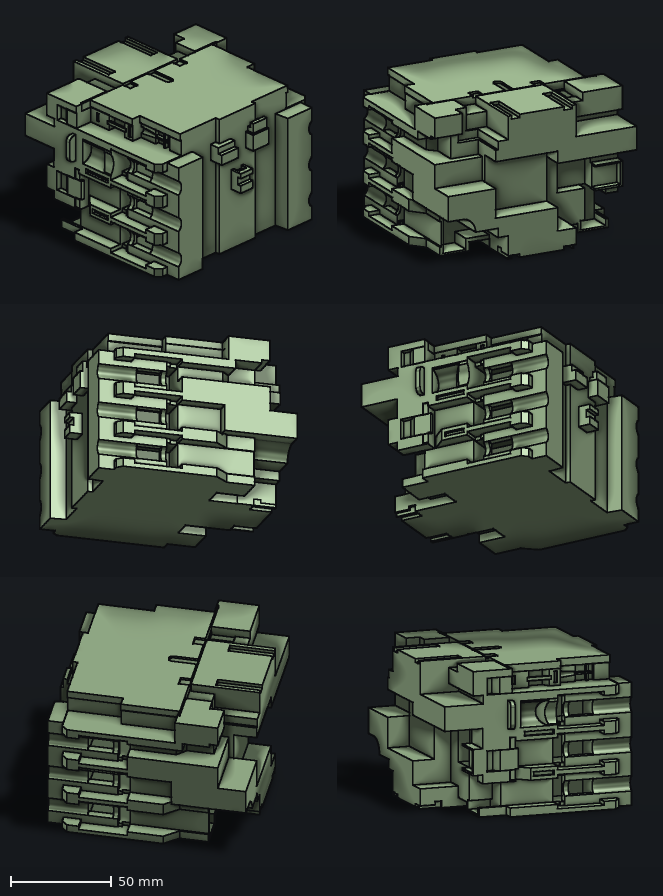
import cadquery as cq
import math

DEPTH = 106.3
HEIGHT = 75.5
MIDDLE_Y = DEPTH / 2

RAIL_SEAT_X = 11.6
FAR_STEP_X = 14.3
NEAR_STEP_X = 15.3
FAR_NOTCH_X = 18.6
BASE_X = 20.4
UNDERCUT_X = 20.7
FAR_RECESS_X = 21.6
SHELF_X = 22.9
CORNER_POCKET_X = 32.4
FIN_START_X = 35.0
COVER_X = 36.1
CELL_X = 38.0
STRIP_X = 60.4
STRIP_STEP_X = 64.4
TERMINAL_X = 66.4
END_BLOCK_X = 85.2
BODY_X = 94.2
NOSE_X = 96.8
TERMINAL_END_X = 102.3

FOOT_RECESS_Y = 5.3
TERMINAL_Y = 6.1
CELL_Y = 6.9
TERMINAL_BACK_Y = 23.0
STRIP_Y = 8.3
CAVITY_Y0 = 10.0
CAVITY_Y1 = 21.0
COVER_SIDE_Y = 10.1
COVER_SIDE_NARROW_Y = 15.3
LATCH_BLOCK_Y = 15.5
CORNER_POCKET_Y = 18.6
SHOULDER_Y = 22.6
CORE_Y0 = 34.1
CORE_Y1 = 72.5
SEAT_Y0 = 44.5
SEAT_Y1 = 79.5
FAR_LEDGE_Y = 78.2
FAR_SHELF_Y = 84.7
FAR_SHOULDER_Y = 90.8
FAR_NOTCH_Y = 95.0

FOOT_Z = 4.6
LOW_STEP_Z = 10.5
ARCH_LEDGE_Z = 12.4
ARCH_Z = 17.3
CELL_TOP_Z = 18.0
LATCH_Z0 = 22.5
SEAT_Z0 = 22.8
ARCH_TOP_Z = 25.1
LATCH_Z1 = 35.9
RAIL_Z0 = 38.4
RAIL_Z1 = 46.2
FAR_STEP_Z = 50.9
SEAT_Z1 = 52.6
LEDGE_Z = 58.7
SIDE_TOP_Z = 62.7
UNDERCUT_Z = 63.1
FAR_BLOCK_Z = 64.8
SHELF_Z = 71.2
BAND_TOP_Z = 71.6


def block(x0, x1, y0, y1, z0, z1):
    """Box given by its limits along X, Y and Z."""
    return cq.Workplane("XY").box(x1 - x0, y1 - y0, z1 - z0, centered=False).translate((x0, y0, z0))


def prism_z(points, z0, z1):
    """Polygon in X and Y, extruded from z0 to z1."""
    return cq.Workplane("XY").workplane(offset=z0).polyline(points).close().extrude(z1 - z0)


def rod_x(x0, x1, y, z, radius):
    """Cylinder along X."""
    return cq.Workplane("YZ").center(y, z).circle(radius).extrude(x1 - x0).translate((x0, 0, 0))


def far_copy(shape):
    """Mirror image on the far side of the middle plane."""
    return shape.translate((0, -MIDDLE_Y, 0)).mirror("XZ").translate((0, MIDDLE_Y, 0))


def cut_both_sides(body, cutter):
    """Cut a near-side shape and its mirror image."""
    return body.cut(cutter).cut(far_copy(cutter))


BODY_CORNER = 2.9


def make_main_block():
    main = block(0, BODY_X, 0, DEPTH, 0, HEIGHT)
    main = main.edges("|Z and >X").chamfer(BODY_CORNER)
    nose_half_width = 12.7
    nose = block(BODY_X, NOSE_X, MIDDLE_Y - nose_half_width, MIDDLE_Y + nose_half_width, 0, HEIGHT)
    return main.union(nose)


DIP_Y1 = 27.2
DIP_Z = 70.5
WINDOW_X = 26.6
LATCH_POCKET_X = 18.9
LATCH_WALL = 1.3
LATCH_POCKET_Z0 = 23.6
LATCH_POCKET_Z1 = 35.1


def cut_near_base_steps(body):
    """Stepped mounting side between the near side face and the central column."""
    body = body.cut(block(0, NEAR_STEP_X, 0, CORE_Y0, LEDGE_Z, HEIGHT))
    body = body.cut(block(NEAR_STEP_X, UNDERCUT_X, 0, CORE_Y0, LEDGE_Z, UNDERCUT_Z))
    body = body.cut(block(NEAR_STEP_X, FIN_START_X, SHOULDER_Y, CORE_Y0, SHELF_Z, HEIGHT))
    body = body.cut(block(SHELF_X, FIN_START_X, SHOULDER_Y, DIP_Y1, DIP_Z, SHELF_Z))
    body = body.cut(block(0, BASE_X, LATCH_BLOCK_Y, SEAT_Y0, LOW_STEP_Z, RAIL_Z1))
    body = body.cut(block(0, NEAR_STEP_X, 0, LATCH_BLOCK_Y, 0, RAIL_Z1))
    body = body.cut(block(NEAR_STEP_X, BASE_X, 0, LATCH_BLOCK_Y, LATCH_Z1, RAIL_Z1))
    body = body.cut(block(NEAR_STEP_X, BASE_X, 0, LATCH_BLOCK_Y, 0, LATCH_Z0))
    body = body.cut(block(0, BASE_X, LATCH_BLOCK_Y, CORE_Y0, 0, LOW_STEP_Z))
    body = body.cut(block(BASE_X, WINDOW_X, LATCH_BLOCK_Y, CORE_Y0, SEAT_Z0, RAIL_Z1))
    return body.cut(
        block(NEAR_STEP_X, LATCH_POCKET_X, LATCH_WALL, LATCH_BLOCK_Y, LATCH_POCKET_Z0, LATCH_POCKET_Z1)
    )


def cut_rail_seat(body):
    body = body.cut(block(0, RAIL_SEAT_X, SEAT_Y0, SEAT_Y1, SEAT_Z0, SEAT_Z1))
    return body.cut(block(0, RAIL_SEAT_X, 0, DEPTH, RAIL_Z0, RAIL_Z1))


def cut_far_base_steps(body):
    """Stepped mounting side between the central column and the far side face."""
    body = body.cut(block(0, FAR_STEP_X, SEAT_Y1, DEPTH, RAIL_Z0, HEIGHT))
    body = body.cut(block(0, FAR_STEP_X, FAR_LEDGE_Y, SEAT_Y1, LEDGE_Z, HEIGHT))
    body = body.cut(block(0, FAR_RECESS_X, CORE_Y1, FAR_LEDGE_Y, UNDERCUT_Z, HEIGHT))
    body = body.cut(block(FAR_STEP_X, FAR_NOTCH_X, SEAT_Y1, DEPTH, FAR_STEP_Z, FAR_BLOCK_Z))
    body = body.cut(block(FAR_STEP_X, FAR_RECESS_X, FAR_LEDGE_Y, FAR_SHOULDER_Y, LEDGE_Z, HEIGHT))
    body = body.cut(block(FAR_RECESS_X, SHELF_X, CORE_Y1, FAR_SHELF_Y, UNDERCUT_Z, HEIGHT))
    body = body.cut(block(SHELF_X, FIN_START_X, CORE_Y1, FAR_SHELF_Y, SHELF_Z, HEIGHT))
    body = body.cut(block(FAR_NOTCH_X, CORNER_POCKET_X, FAR_NOTCH_Y, DEPTH, FAR_STEP_Z, UNDERCUT_Z))
    channel_y = DEPTH - CELL_Y
    channel = prism_z(
        [
            (CORNER_POCKET_X, FAR_NOTCH_Y),
            (CORNER_POCKET_X + channel_y - FAR_NOTCH_Y, channel_y),
            (STRIP_X, channel_y),
            (STRIP_X, DEPTH),
            (CORNER_POCKET_X, DEPTH),
        ],
        FAR_STEP_Z, LEDGE_Z,
    )
    return body.cut(channel)


POCKET_FLOOR_Z = 1.1


def make_arch(length):
    """Arched opening under the far end of the mounting side, reaching in from X = 0."""
    arch_radius = ARCH_TOP_Z - ARCH_Z
    arch_mid = arch_radius * math.sqrt(0.5)
    return (
        cq.Workplane("YZ")
        .moveTo(CORE_Y1, 0)
        .lineTo(CORE_Y1, ARCH_LEDGE_Z)
        .lineTo(FAR_LEDGE_Y, ARCH_LEDGE_Z)
        .lineTo(FAR_LEDGE_Y, ARCH_Z)
        .lineTo(FAR_SHOULDER_Y, ARCH_Z)
        .threePointArc(
            (FAR_SHOULDER_Y + arch_radius - arch_mid, ARCH_Z + arch_mid),
            (FAR_SHOULDER_Y + arch_radius, ARCH_TOP_Z),
        )
        .lineTo(DEPTH, ARCH_TOP_Z)
        .lineTo(DEPTH, 0)
        .close()
        .extrude(length)
    )


def cut_arch(body):
    """Arch with a deeper pocket behind it, framed by walls at its foot and its outer end."""
    foot_wall_y = 85.6
    foot_wall_z = 6.9
    end_wall_y = 98.4
    pocket_frame = block(0, CORNER_POCKET_X, CORE_Y1, foot_wall_y, foot_wall_z, ARCH_TOP_Z)
    pocket_frame = pocket_frame.union(
        block(0, CORNER_POCKET_X, foot_wall_y, end_wall_y, POCKET_FLOOR_Z, ARCH_TOP_Z)
    )
    return body.cut(make_arch(BASE_X)).cut(make_arch(CORNER_POCKET_X).intersect(pocket_frame))


def cut_corner_pockets(body):
    """Pocket at the near lower corner of the base, and the foot recesses on both sides."""
    widened_y = 21.0
    widened_z = 6.0
    body = body.cut(block(BASE_X, CORNER_POCKET_X, CELL_Y, CORNER_POCKET_Y, POCKET_FLOOR_Z, SEAT_Z0))
    body = body.cut(block(BASE_X, CORNER_POCKET_X, CORNER_POCKET_Y, widened_y, POCKET_FLOOR_Z, widened_z))
    recess = block(BASE_X, CORNER_POCKET_X, 0, CELL_Y, FOOT_Z, CELL_TOP_Z)
    recess = recess.union(block(BASE_X, FIN_START_X, 0, FOOT_RECESS_Y, 0, FOOT_Z))
    recess = recess.union(block(BASE_X, FIN_START_X, SHOULDER_Y, CORE_Y0, 0, FOOT_Z))
    return cut_both_sides(body, recess)


def cut_far_slopes(body):
    """Sloped starts of the foot and of the lower fin on the far side."""
    slope_length = 7.2
    slope = [
        (BASE_X, DEPTH),
        (BASE_X, DEPTH - TERMINAL_Y),
        (FIN_START_X, DEPTH - TERMINAL_Y),
        (FIN_START_X + slope_length, DEPTH),
    ]
    body = body.cut(prism_z(slope, 0, FOOT_Z))
    return body.cut(prism_z(slope, CELL_TOP_Z, ARCH_TOP_Z))


def cut_face_slots(body):
    groove_y0 = 4.4
    groove_y1 = 99.6
    groove_x1 = 35.8
    body = body.cut(block(FIN_START_X, groove_x1, groove_y0, groove_y1, SHELF_Z, HEIGHT))
    slot_depth = 1.8
    top_slot_length = 22.7
    slot_width = 4.6
    for y in (36.3, 65.9):
        body = body.cut(block(0, top_slot_length, y, y + slot_width, HEIGHT - slot_depth, HEIGHT))
        body = body.cut(block(0, RAIL_SEAT_X, y, y + slot_width, 0, slot_depth))
    edge_notch_width = 1.4
    edge_notch_x = 8.0
    edge_notch_z = 3.4
    core_edge_y = CORE_Y0 + edge_notch_width
    edge_notch = block(0, edge_notch_x, CORE_Y0, core_edge_y, 0, slot_depth)
    edge_notch = edge_notch.union(block(edge_notch_x, RAIL_SEAT_X, CORE_Y0, core_edge_y, 0, edge_notch_z))
    body = cut_both_sides(body, edge_notch)
    notch_length = 5.4
    notch_width = 5.3
    notch_depth = 1.1
    for y in (33.2, 68.1):
        body = body.cut(
            block(groove_x1, groove_x1 + notch_length, y, y + notch_width, HEIGHT - notch_depth, HEIGHT)
        )
    finger_radius = 2.2
    finger_center_x = 48.2
    finger = block(
        groove_x1, finger_center_x, MIDDLE_Y - finger_radius, MIDDLE_Y + finger_radius,
        HEIGHT - notch_depth, HEIGHT,
    )
    finger_end = (
        cq.Workplane("XY").workplane(offset=HEIGHT - notch_depth)
        .center(finger_center_x, MIDDLE_Y).circle(finger_radius).extrude(notch_depth)
    )
    return body.cut(finger).cut(finger_end)


COVER_NARROW_X = 65.8
BAND_DEPTH = 0.9
RIM_DEPTH = 0.3


def cut_cover_sides(body):
    """Side shoulders beside the top cover, and the sunken band below its rim."""
    shoulder = block(COVER_X, COVER_NARROW_X, 0, COVER_SIDE_Y, UNDERCUT_Z, HEIGHT)
    shoulder = shoulder.union(block(COVER_NARROW_X, BODY_X, 0, COVER_SIDE_NARROW_Y, UNDERCUT_Z, HEIGHT))
    band = block(COVER_NARROW_X, BODY_X, COVER_SIDE_NARROW_Y, COVER_SIDE_NARROW_Y + BAND_DEPTH,
                 UNDERCUT_Z, BAND_TOP_Z)
    band = band.union(
        block(COVER_X, COVER_NARROW_X, COVER_SIDE_Y, COVER_SIDE_Y + RIM_DEPTH, UNDERCUT_Z, BAND_TOP_Z)
    )
    return cut_both_sides(body, shoulder.union(band))


def cut_cover_details(body):
    """Ramped pocket, slits, contact window and cable funnel in the cover's near side."""
    pocket_depth = 4.4
    ramp_start_x = 48.9
    ramp_end_x = 60.0
    ramp_run = 2.2
    pocket = prism_z(
        [
            (ramp_start_x, COVER_SIDE_Y),
            (ramp_start_x, COVER_SIDE_Y + pocket_depth),
            (ramp_end_x - ramp_run, COVER_SIDE_Y + pocket_depth),
            (ramp_end_x, COVER_SIDE_Y),
        ],
        UNDERCUT_Z, BAND_TOP_Z,
    )
    bar_z0 = 66.4
    bar_z1 = 68.2
    bar_overlap = 0.9
    bar_depth = 1.1
    bar = block(
        ramp_start_x - bar_overlap, ramp_end_x + bar_overlap, COVER_SIDE_Y, COVER_SIDE_Y + bar_depth,
        bar_z0, bar_z1,
    )
    body = body.cut(pocket).union(bar)
    slit_depth = 1.3
    slit_width = 1.5
    for x, z0, z1 in ((40.1, 65.3, 69.5), (62.5, 64.5, 70.3)):
        body = body.cut(block(x, x + slit_width, COVER_SIDE_Y, COVER_SIDE_Y + slit_depth, z0, z1))

    band_y = COVER_SIDE_NARROW_Y + BAND_DEPTH
    window_depth = 2.2
    rib_width = 0.9
    window_x0 = 75.9
    window_x1 = 85.9
    rib_x = 81.9
    body = body.cut(block(window_x0, window_x1, band_y, band_y + window_depth, UNDERCUT_Z, BAND_TOP_Z))
    body = body.union(
        block(rib_x, rib_x + rib_width, band_y, band_y + window_depth, UNDERCUT_Z, BAND_TOP_Z)
    )
    cross_bar_x1 = 84.4
    cross_bar_z0 = 66.6
    body = body.union(
        block(window_x0, cross_bar_x1, band_y, band_y + window_depth, cross_bar_z0, cross_bar_z0 + rib_width)
    )

    funnel_radius = 1.9
    funnel_end_radius = 0.9
    funnel_z = 67.3
    funnel = cq.Solid.makeCone(
        funnel_radius, funnel_end_radius, window_x0 - COVER_NARROW_X,
        pnt=cq.Vector(COVER_NARROW_X, band_y, funnel_z), dir=cq.Vector(1, 0, 0),
    )
    return body.cut(cq.Workplane(funnel))


FIN_CENTERS_Z = (21.0, 41.8)
FIN_HALF = 1.2
FIN_BLOCK_HALF = 3.2
BAY_STEP = FIN_BLOCK_HALF - FIN_HALF
TERMINAL_CENTERS_Z = (11.2, 31.0, 51.4)
GROOVE_RADIUS = 4.6


def cell_limits():
    """Lower and upper limits of the three bays between the thin fins."""
    lowest = 2.4
    highest = 60.3
    floors = [lowest] + [z + FIN_HALF for z in FIN_CENTERS_Z]
    ceilings = [z - FIN_HALF for z in FIN_CENTERS_Z] + [highest]
    return list(zip(floors, ceilings))


def make_side_cells():
    """Material removed from the near side around the fins."""
    cells = block(CORNER_POCKET_X, STRIP_X, 0, CELL_Y, FOOT_Z, CELL_TOP_Z)
    middle_z0 = FIN_CENTERS_Z[0] + FIN_BLOCK_HALF
    middle_z1 = FIN_CENTERS_Z[1] - FIN_BLOCK_HALF
    cells = cells.union(block(CELL_X, STRIP_X, 0, CELL_Y, middle_z0, middle_z1))
    for z0, z1 in cell_limits():
        cells = cells.union(block(STRIP_X, STRIP_STEP_X, 0, STRIP_Y, z0, z1))
        cells = cells.union(block(STRIP_STEP_X, TERMINAL_X, 0, CELL_Y, z0, z1))
        cells = cells.union(block(TERMINAL_X, END_BLOCK_X, 0, TERMINAL_Y, z0, z1))
        cells = cells.union(block(END_BLOCK_X, BODY_X, 0, TERMINAL_Y, z0 + BAY_STEP, z1 - BAY_STEP))
    return cells


def make_terminal_block():
    """Row of terminals standing beyond the operating side."""
    draft = 0.8
    root_x = 92.3
    outline = [
        (root_x, TERMINAL_Y),
        (TERMINAL_END_X, TERMINAL_Y),
        (TERMINAL_END_X, TERMINAL_BACK_Y),
        (BODY_X, TERMINAL_BACK_Y + draft),
        (root_x, TERMINAL_BACK_Y + draft),
    ]
    return prism_z(outline, 0, SIDE_TOP_Z)


def make_terminal_grooves():
    """Round wire grooves along the terminals, opened by windows into a hollow behind each terminal."""
    window_x0 = 69.1
    window_x1 = 81.9
    groove_half = 3.9
    axis_y = TERMINAL_Y - math.sqrt(GROOVE_RADIUS**2 - groove_half**2)
    grooves = cq.Workplane("XY")
    for z, (bay_z0, bay_z1) in zip(TERMINAL_CENTERS_Z, cell_limits()):
        grooves = grooves.union(rod_x(TERMINAL_X, TERMINAL_END_X, axis_y, z, GROOVE_RADIUS))
        grooves = grooves.union(
            block(window_x0, window_x1, TERMINAL_Y, CAVITY_Y0, z - groove_half, z + groove_half)
        )
        cavity_z0 = bay_z0 + BAY_STEP
        cavity_z1 = bay_z1 - BAY_STEP
        grooves = grooves.union(block(STRIP_X, window_x1, CAVITY_Y0, CAVITY_Y1, cavity_z0, cavity_z1))
        grooves = grooves.union(block(STRIP_X, TERMINAL_X, 0, CAVITY_Y0, cavity_z0, cavity_z1))
    return grooves


def add_terminals(body):
    terminals = make_terminal_block()
    body = cut_both_sides(body, make_side_cells())
    body = body.union(terminals).union(far_copy(terminals))
    return cut_both_sides(body, make_terminal_grooves())


PLATE_INSET = 0.3
LATCH_PLATE_X1 = 39.5
LATCH_PLATE_Z0 = 23.9
LATCH_PLATE_Z1 = 34.5


def make_ramp_pocket(x0, flat_end_x, ramp_end_x, plate_end_x, z0, z1):
    """Pocket whose floor rises towards +X to a slightly sunken plate."""
    depth = 2.9
    outline = [
        (x0, 0), (x0, depth), (flat_end_x, depth), (ramp_end_x, PLATE_INSET), (plate_end_x, PLATE_INSET),
        (plate_end_x, 0),
    ]
    return prism_z(outline, z0, z1)


def cut_coil_pockets(body):
    """Coil terminal pockets; the lower plate reaches over the middle cell."""
    plate_thickness = 2.2
    body = body.union(block(FIN_START_X, LATCH_PLATE_X1, 0, plate_thickness, LATCH_PLATE_Z0, LATCH_PLATE_Z1))
    body = body.cut(make_ramp_pocket(22.8, 26.2, 29.5, COVER_X, UNDERCUT_Z, BAND_TOP_Z))
    return body.cut(make_ramp_pocket(22.6, 26.7, 29.9, LATCH_PLATE_X1, LATCH_PLATE_Z0, LATCH_PLATE_Z1))


def cut_round_recess(body):
    """Round recess in the upper bay of the near side; a ramp leads from its deep to its shallow part."""
    x0 = 40.6
    center_z = 51.5
    deep_radius = 6.3
    shallow_radius = 9.9
    shallow_depth = 2.1
    ramp_x0 = 50.9
    ramp_x1 = 55.9
    rim_z0 = 45.3
    ramp_outline = [(x0, 0), (x0, deep_radius), (ramp_x0, deep_radius), (ramp_x1, 0)]
    deep_part = rod_x(x0, ramp_x1, 0, center_z, deep_radius).intersect(prism_z(ramp_outline, 0, HEIGHT))
    shallow_part = rod_x(ramp_x0, STRIP_X, shallow_depth - shallow_radius, center_z, shallow_radius)
    body = body.cut(deep_part).cut(shallow_part)
    return body.cut(block(x0, STRIP_X, 0, PLATE_INSET, rim_z0, LEDGE_Z))


def cut_fin_details(body):
    """Label slots in the fins and the sloped start of the lower fin."""
    slot_depth = 1.7
    slot_end_x = 58.5
    slot_half = 1.1
    for x0, z in zip((47.6, 42.7), FIN_CENTERS_Z):
        body = body.cut(block(x0, slot_end_x, 0, slot_depth, z - slot_half, z + slot_half))
    slope_x0 = 38.7
    slope_x1 = 45.9
    slope = prism_z(
        [(CELL_X, 0), (CELL_X, CELL_Y), (slope_x0, CELL_Y), (slope_x1, 0)],
        CELL_TOP_Z, FIN_CENTERS_Z[0] + FIN_BLOCK_HALF,
    )
    body = body.cut(slope)
    groove_depth = 0.7
    groove_z0 = 18.8
    groove_z1 = 40.5
    body = body.cut(block(FIN_START_X, CELL_X, 0, groove_depth, groove_z0, LATCH_PLATE_Z0))
    return body.cut(block(FIN_START_X, CELL_X, 0, groove_depth, LATCH_PLATE_Z1, groove_z1))


def add_slider_tab(body):
    """Round-cornered tab on the near side face."""
    x0 = 33.7
    width = 2.3
    reach = 4.4
    z0 = 45.2
    z1 = 59.6
    corner_radius = 2.8
    tab = block(x0, x0 + width, -reach, 0, z0, z1).edges("|X and <Y").fillet(corner_radius)
    return body.union(tab)


def add_hooks(body):
    hook_end_x = 102.1
    hook_base_z = 53.1
    hook_top_z = 62.0
    near_y0 = 36.8
    near_y1 = 48.3
    near_step_x = 99.7
    near_step_z = 58.7
    body = body.union(block(BODY_X, near_step_x, near_y0, near_y1, hook_base_z, hook_top_z))
    body = body.union(block(BODY_X, hook_end_x, near_y0, near_y1, hook_base_z, near_step_z))

    far_y0 = 58.9
    far_y1 = 70.0
    tooth_x = 98.5
    tooth_end_x = 100.7
    tooth_y0 = 60.4
    tooth_z = 67.3
    shelf_z = 64.5
    body = body.union(block(BODY_X, hook_end_x, far_y0, far_y1, hook_base_z, hook_top_z))
    body = body.union(block(BODY_X, tooth_end_x, tooth_y0, far_y1, hook_top_z, shelf_z))
    return body.union(block(tooth_x, tooth_end_x, tooth_y0, far_y1, shelf_z, tooth_z))


def make_housing():
    body = make_main_block()
    body = cut_near_base_steps(body)
    body = cut_rail_seat(body)
    body = cut_far_base_steps(body)
    body = cut_arch(body)
    body = cut_corner_pockets(body)
    body = cut_far_slopes(body)
    body = cut_face_slots(body)
    body = cut_cover_sides(body)
    body = cut_cover_details(body)
    body = add_terminals(body)
    body = cut_coil_pockets(body)
    body = cut_round_recess(body)
    body = cut_fin_details(body)
    body = add_slider_tab(body)
    return add_hooks(body)


def make_carrier():
    end_x = 103.3
    half_width = 4.2
    z0 = 33.4
    z1 = 44.3
    carrier = block(NOSE_X, end_x, MIDDLE_Y - half_width, MIDDLE_Y + half_width, z0, z1)
    gap_x = 101.2
    gap_z0 = 37.6
    gap_z1 = 41.6
    carrier = carrier.cut(block(gap_x, end_x, MIDDLE_Y - half_width, MIDDLE_Y + half_width, gap_z0, gap_z1))
    pocket_x1 = 100.5
    pocket_half_width = 2.5
    pocket_z = 42.6
    return carrier.cut(
        block(NOSE_X, pocket_x1, MIDDLE_Y - pocket_half_width, MIDDLE_Y + pocket_half_width, pocket_z, z1)
    )


housing = make_housing().solids()
carrier = make_carrier().solids()
result = cq.Compound.makeCompound([housing.val(), carrier.val()])